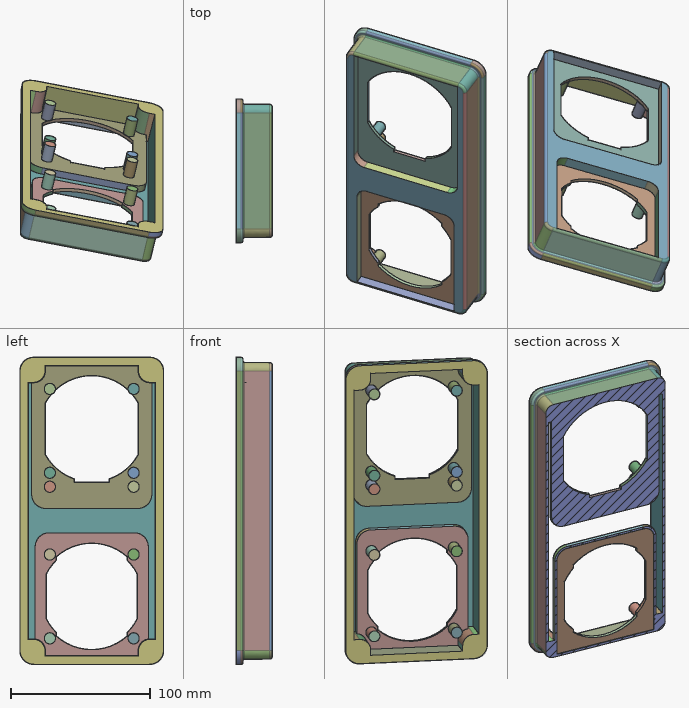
import cadquery as cq

DEPTH = 26.0
FLANGE_WIDTH = 103.0
FLANGE_HEIGHT = 220.0
FLANGE_THICKNESS = 5.0
FLANGE_CORNER_RADIUS = 10.0
FLANGE_EDGE_FILLET = 1.5

FLANGE_OVERHANG = 3.64
BODY_WIDTH = FLANGE_WIDTH - 2 * FLANGE_OVERHANG
BODY_HEIGHT = FLANGE_HEIGHT - 2 * FLANGE_OVERHANG
BODY_CORNER_RADIUS = FLANGE_CORNER_RADIUS - FLANGE_OVERHANG
BODY_DRAFT = 0.5
BODY_EDGE_FILLET = 2.0
ROOT_FILLET = 1.0

CAVITY_WIDTH = 91.0
CAVITY_HEIGHT = 208.0
CAVITY_DEPTH = 22.0
CAVITY_DRAFT = 1.0
BOSS_RADIUS = 8.0
BOSS_FLAT_Y = FLANGE_WIDTH / 2 - FLANGE_CORNER_RADIUS - BOSS_RADIUS
BOSS_FLAT_Z = FLANGE_HEIGHT / 2 - FLANGE_CORNER_RADIUS - BOSS_RADIUS

SEAT_CORNER_RADIUS = 10.0
SEAT_PLATE = 2.5
SEAT_WALL = 2.0
UPPER_SEAT_X = 17.0
UPPER_SEAT_WIDTH = 86.0
UPPER_SEAT_BOTTOM = 1.7
LOWER_SEAT_X = 16.5
LOWER_SEAT_WIDTH = 81.0
LOWER_SEAT_TOP = -15.7

OPENING_RADIUS = 38.0
UPPER_OPENING_Z = 58.75
UPPER_OPENING_WIDTH = 66.5
LOWER_OPENING_Z = -61.25
LOWER_OPENING_WIDTH = 65.0

NOTCH_WIDTH = 25.0
NOTCH_BOTTOM = 20.5

LOWER_SIDE_RADIUS = 36.2
LOWER_BAND_WIDTH = 50.6

POST_DIAMETER = 8.0
POST_TIP_X = 4.5
POST_Y = 30.0
UPPER_POST_ROWS = (87.25, 27.25, 17.25)
LOWER_POST_ROWS = (-31.25, -91.25)

TOLERANCE = 0.1


def block(width, z_low, z_high, x_start, x_end):
    """Box centred on Y."""
    box = cq.Workplane("XY").box(x_end - x_start, width, z_high - z_low, centered=(False, True, False))
    return box.translate((x_start, 0, z_low))


def cylinder(radius, y, z, x_start, x_end):
    """Cylinder along X."""
    return cq.Workplane("YZ", origin=(x_start, y, z)).circle(radius).extrude(x_end - x_start)


def rounded_plate(width, height, corner_radius, x_start, x_end, draft=0.0):
    """Centred plate with rounded corners, narrowing towards +X when a draft is given."""
    outline = cq.Sketch().rect(width, height).vertices().fillet(corner_radius)
    plane = cq.Workplane("YZ", origin=(x_start, 0, 0))
    return plane.placeSketch(outline).extrude(x_end - x_start, taper=draft)


def make_shell():
    """Solid flange and body with their rounded edges."""
    flange = rounded_plate(FLANGE_WIDTH, FLANGE_HEIGHT, FLANGE_CORNER_RADIUS, 0, FLANGE_THICKNESS)
    flange = flange.faces(">X").edges().fillet(FLANGE_EDGE_FILLET)
    body = rounded_plate(BODY_WIDTH, BODY_HEIGHT, BODY_CORNER_RADIUS, FLANGE_THICKNESS, DEPTH, BODY_DRAFT)
    body = body.faces(">X").edges().fillet(BODY_EDGE_FILLET)
    reach_y = BODY_WIDTH / 2 + TOLERANCE
    reach_z = BODY_HEIGHT / 2 + TOLERANCE
    root_edges = cq.selectors.BoxSelector(
        (FLANGE_THICKNESS - TOLERANCE, -reach_y, -reach_z),
        (FLANGE_THICKNESS + TOLERANCE, reach_y, reach_z),
        boundingbox=True,
    )
    return flange.union(body).edges(root_edges).fillet(ROOT_FILLET)


def make_cavity():
    """Drafted cavity whose outline steps around a rounded boss in each corner."""
    half_width = CAVITY_WIDTH / 2
    half_height = CAVITY_HEIGHT / 2
    cavity_corners = [(y, z) for y in (-half_width, half_width) for z in (-half_height, half_height)]
    notch_width = 2 * (half_width - BOSS_FLAT_Y)
    notch_height = 2 * (half_height - BOSS_FLAT_Z)
    outline = cq.Sketch().rect(CAVITY_WIDTH, CAVITY_HEIGHT)
    outline = outline.push(cavity_corners).rect(notch_width, notch_height, mode="s").reset()
    boss_corners = cq.selectors.BoxSelector(
        (-BOSS_FLAT_Y - TOLERANCE, -BOSS_FLAT_Z - TOLERANCE, -TOLERANCE),
        (BOSS_FLAT_Y + TOLERANCE, BOSS_FLAT_Z + TOLERANCE, TOLERANCE),
    )
    outline = outline.vertices(boss_corners).fillet(BOSS_RADIUS)
    return cq.Workplane("YZ").placeSketch(outline).extrude(CAVITY_DEPTH, taper=CAVITY_DRAFT)


def make_seat(width, z_low, z_high, seat_x, inner_end):
    """Raised seat, rounded at the end that faces the middle of the part."""
    seat = block(width, z_low, z_high, seat_x, CAVITY_DEPTH)
    return seat.faces(inner_end).edges("|X").fillet(SEAT_CORNER_RADIUS)


def make_recess(width, z_low, z_high, seat_x, inner_end):
    """Hollow behind a seat, leaving a plate at the front and a wall around it."""
    recess = block(width - 2 * SEAT_WALL, z_low, z_high, seat_x + SEAT_PLATE, DEPTH)
    return recess.faces(inner_end).edges("|X").fillet(SEAT_CORNER_RADIUS - SEAT_WALL)


def make_upper_opening():
    """Round opening with flat sides and a notch at the bottom."""
    opening = cylinder(OPENING_RADIUS, 0, UPPER_OPENING_Z, 0, DEPTH)
    top = UPPER_OPENING_Z + OPENING_RADIUS
    opening = opening.intersect(block(UPPER_OPENING_WIDTH, NOTCH_BOTTOM, top, 0, DEPTH))
    return opening.union(block(NOTCH_WIDTH, NOTCH_BOTTOM, UPPER_OPENING_Z, 0, DEPTH))


def make_lower_opening():
    """Round opening with flat sides, larger in its middle band than beside it."""
    bottom = LOWER_OPENING_Z - OPENING_RADIUS
    top = LOWER_OPENING_Z + OPENING_RADIUS
    middle = cylinder(OPENING_RADIUS, 0, LOWER_OPENING_Z, 0, DEPTH)
    middle = middle.intersect(block(LOWER_BAND_WIDTH, bottom, top, 0, DEPTH))
    sides = cylinder(LOWER_SIDE_RADIUS, 0, LOWER_OPENING_Z, 0, DEPTH)
    sides = sides.intersect(block(LOWER_OPENING_WIDTH, bottom, top, 0, DEPTH))
    return middle.union(sides)


def add_posts(part, rows, seat_x):
    """A pair of posts in each row, standing on the seat."""
    for z in rows:
        for y in (-POST_Y, POST_Y):
            part = part.union(cylinder(POST_DIAMETER / 2, y, z, POST_TIP_X, seat_x))
    return part


end_wall_z = CAVITY_HEIGHT / 2
upper_recess_bottom = UPPER_SEAT_BOTTOM + SEAT_WALL
lower_recess_top = LOWER_SEAT_TOP - SEAT_WALL

result = make_shell().cut(make_cavity())
result = result.union(make_seat(UPPER_SEAT_WIDTH, UPPER_SEAT_BOTTOM, end_wall_z, UPPER_SEAT_X, "<Z"))
result = result.union(make_seat(LOWER_SEAT_WIDTH, -end_wall_z, LOWER_SEAT_TOP, LOWER_SEAT_X, ">Z"))
result = result.cut(make_recess(UPPER_SEAT_WIDTH, upper_recess_bottom, end_wall_z, UPPER_SEAT_X, "<Z"))
result = result.cut(make_recess(LOWER_SEAT_WIDTH, -end_wall_z, lower_recess_top, LOWER_SEAT_X, ">Z"))
result = result.cut(make_upper_opening())
result = result.cut(make_lower_opening())
result = add_posts(result, UPPER_POST_ROWS, UPPER_SEAT_X)
result = add_posts(result, LOWER_POST_ROWS, LOWER_SEAT_X)